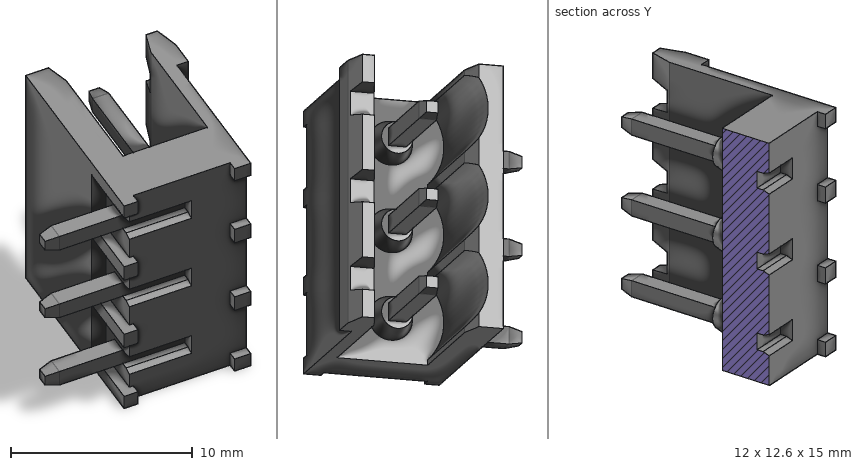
import cadquery as cq


POLES = 3
PITCH = 5.0
LENGTH = POLES * PITCH
POLE_CENTRES = [PITCH * (i + 0.5) for i in range(POLES)]

DEPTH = 12.0
HEIGHT = 7.8
BACK_X = 11.45
FRONT_FLANGE = 0.85
REAR_FLANGE = 1.0
CAVITY_BACK_X = 8.3
CAVITY_BOTTOM_Y = 1.8
CAVITY_TOP_Y = 7.0
LEAD_IN_LENGTH = 1.4
LEAD_IN_RISE = 0.4

LATCH_TOP_Y = 8.5
LATCH_LENGTH = 3.0
LATCH_TIP_DROP = 0.4
LATCH_NOSE_LENGTH = 1.45
NOTCH_DEPTH = 1.2
NOTCH_MOUTH = 1.85
NOTCH_FLOOR = 1.35

RIB = 1.0
END_WALL = 0.9
WINDOW_START_X = 8.0
WINDOW_DEPTH = 0.6

PIN = 1.0
PIN_TIP = 0.65
PIN_TAPER = 0.8
PIN_AXIS_Y = 3.92
PIN_START_X = 0.57
TAIL_AXIS_X = 10.15
TAIL_LENGTH = 4.1

COLLAR_BASE_RADIUS = 1.25
COLLAR_TIP_RADIUS = 0.9
COLLAR_HEIGHT = 1.22
SCALLOP_RADIUS = 3.05
SLOT_FLARE_START_X = 11.05
SLOT_FLARE = 0.15


def box(x0, x1, y0, y1, z0, z1):
    """Axis-aligned block given by its limits."""
    return cq.Workplane("XY").box(x1 - x0, y1 - y0, z1 - z0, centered=False).translate((x0, y0, z0))


def across_x(x, z):
    """Workplane facing +X, centred on a pin axis at the given x and z."""
    return cq.Workplane("YZ", origin=(x, PIN_AXIS_Y, z))


def make_housing():
    outline = [
        (0, 0),
        (DEPTH, 0),
        (DEPTH, FRONT_FLANGE),
        (BACK_X, FRONT_FLANGE),
        (BACK_X, HEIGHT - REAR_FLANGE),
        (DEPTH, HEIGHT - REAR_FLANGE),
        (DEPTH, HEIGHT),
        (LATCH_LENGTH, HEIGHT),
        (LATCH_LENGTH, LATCH_TOP_Y),
        (LATCH_NOSE_LENGTH, LATCH_TOP_Y),
        (0, LATCH_TOP_Y - LATCH_TIP_DROP),
        (0, CAVITY_TOP_Y + LEAD_IN_RISE),
        (LEAD_IN_LENGTH, CAVITY_TOP_Y),
        (CAVITY_BACK_X, CAVITY_TOP_Y),
        (CAVITY_BACK_X, CAVITY_BOTTOM_Y),
        (LEAD_IN_LENGTH, CAVITY_BOTTOM_Y),
        (0, CAVITY_BOTTOM_Y - LEAD_IN_RISE),
    ]
    return cq.Workplane("XY").polyline(outline).close().extrude(LENGTH)


def latch_notch(z):
    """Tapered notch through the tip of the latch lip."""
    outline = [
        (0, z - NOTCH_MOUTH / 2),
        (NOTCH_DEPTH, z - NOTCH_FLOOR / 2),
        (NOTCH_DEPTH, z + NOTCH_FLOOR / 2),
        (0, z + NOTCH_MOUTH / 2),
    ]
    middle = cq.Workplane("XZ", origin=(0, PIN_AXIS_Y, 0))
    return middle.polyline(outline).close().extrude(PIN_AXIS_Y - LATCH_TOP_Y)


def scallop(z):
    """Round clearance that hollows the lower cavity wall around each pole."""
    return across_x(0, z).circle(SCALLOP_RADIUS).extrude(CAVITY_BACK_X).intersect(
        box(0, CAVITY_BACK_X, 0, PIN_AXIS_Y, 0, LENGTH)
    )


def window(pole):
    """Recess in the mounting face, also interrupting both flanges."""
    z0 = END_WALL if pole == 0 else pole * PITCH + RIB / 2
    z1 = LENGTH - END_WALL if pole == POLES - 1 else (pole + 1) * PITCH - RIB / 2
    outline = [
        (WINDOW_START_X, 0),
        (DEPTH, 0),
        (DEPTH, WINDOW_DEPTH),
        (WINDOW_START_X + WINDOW_DEPTH, WINDOW_DEPTH),
    ]
    recess = cq.Workplane("XY").polyline(outline).close().extrude(z1 - z0).translate((0, 0, z0))
    return recess.union(box(BACK_X, DEPTH, 0, HEIGHT, z0, z1))


def insertion_slot(z):
    """Slot behind the pin tail, flared where it leaves the back face."""
    half = PIN / 2
    outline = [
        (TAIL_AXIS_X, z - half),
        (SLOT_FLARE_START_X, z - half),
        (BACK_X, z - half - SLOT_FLARE),
        (BACK_X, z + half + SLOT_FLARE),
        (SLOT_FLARE_START_X, z + half),
        (TAIL_AXIS_X, z + half),
    ]
    slot_depth = PIN_AXIS_Y + half
    return cq.Workplane("XZ").polyline(outline).close().extrude(-slot_depth)


def collar(z):
    return (
        across_x(CAVITY_BACK_X, z)
        .circle(COLLAR_BASE_RADIUS)
        .workplane(offset=-COLLAR_HEIGHT)
        .circle(COLLAR_TIP_RADIUS)
        .loft()
    )


def pin(z):
    """Square pin bent at a right angle, tapered at both ends."""
    half = PIN / 2
    shoulder_x = PIN_START_X + PIN_TAPER
    shoulder_y = PIN_TAPER - TAIL_LENGTH
    contact = box(shoulder_x, TAIL_AXIS_X + half, PIN_AXIS_Y - half, PIN_AXIS_Y + half, z - half, z + half)
    tail = box(TAIL_AXIS_X - half, TAIL_AXIS_X + half, shoulder_y, PIN_AXIS_Y, z - half, z + half)
    contact_tip = (
        across_x(shoulder_x, z)
        .rect(PIN, PIN)
        .workplane(offset=-PIN_TAPER)
        .rect(PIN_TIP, PIN_TIP)
        .loft()
    )
    tail_tip = (
        cq.Workplane("XZ", origin=(TAIL_AXIS_X, shoulder_y, z))
        .rect(PIN, PIN)
        .workplane(offset=PIN_TAPER)
        .rect(PIN_TIP, PIN_TIP)
        .loft()
    )
    return contact.union(tail).union(contact_tip).union(tail_tip)


result = make_housing()
for pole, centre in enumerate(POLE_CENTRES):
    result = result.cut(latch_notch(centre)).cut(scallop(centre))
    result = result.cut(window(pole)).cut(insertion_slot(centre))
    result = result.union(collar(centre)).union(pin(centre))